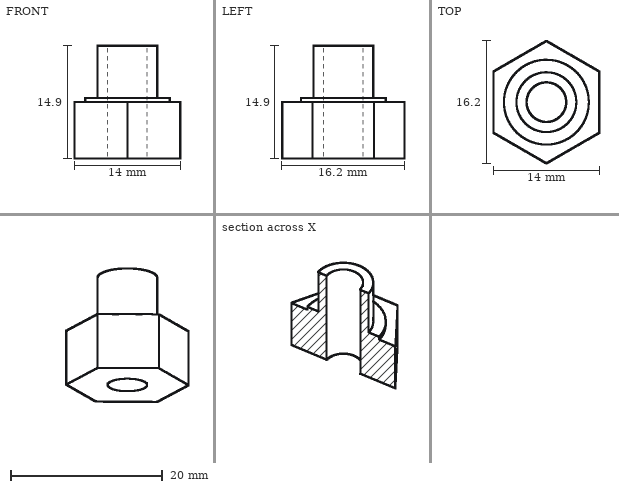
import cadquery as cq
import math

hex_sides = 6
hex_across_flats = 14.0
hex_height = 7.5
collar_diameter = 11.2
collar_height = 0.5
tube_diameter = 7.9
tube_height = 6.9
bore_diameter = 5.2

hex_across_corners = hex_across_flats / math.cos(math.pi / hex_sides)
collar_top = hex_height + collar_height
total_height = collar_top + tube_height


def make_hex_nut():
    """Hexagonal base with flats facing +X and -X, corners on the Y axis."""
    nut = cq.Workplane("XY").polygon(hex_sides, hex_across_corners).extrude(hex_height)
    return nut.rotate((0, 0, 0), (0, 0, 1), 180 / hex_sides)


def make_cylinder(diameter, bottom, height):
    """Upright cylinder centred on the Z axis."""
    return cq.Workplane("XY").workplane(offset=bottom).circle(diameter / 2).extrude(height)


nut = make_hex_nut()
collar = make_cylinder(collar_diameter, hex_height, collar_height)
tube = make_cylinder(tube_diameter, collar_top, tube_height)
through_bore = make_cylinder(bore_diameter, 0, total_height)

result = nut.union(collar).union(tube).cut(through_bore)